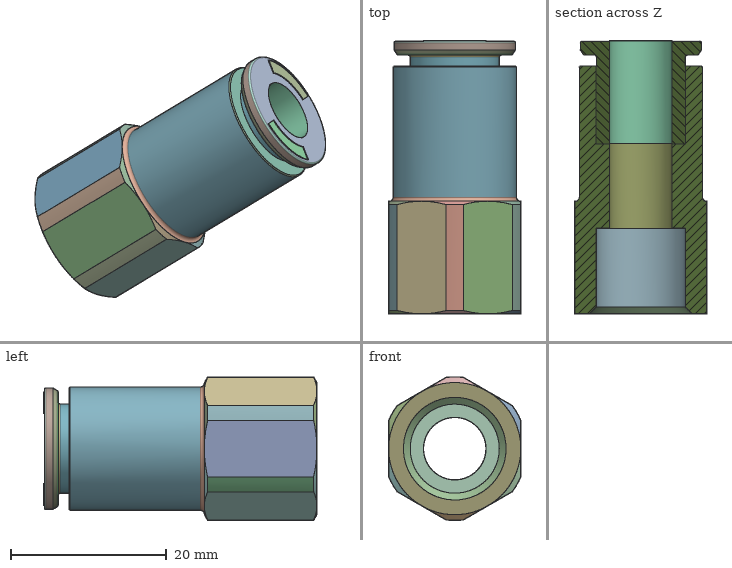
import cadquery as cq
import math


across_flats = 17.0
across_corners = 18.49
hex_face_diameter = across_flats
hex_length = 14.48
hex_chamfer_angle = 30.0
sleeve_diameter = 15.9
sleeve_end = 31.87
sleeve_chamfer = 0.15
shoulder_fillet = 0.5

flow_diameter = 8.0
port_diameter = 11.45
port_mouth_diameter = 13.2
port_depth = 11.0
socket_depth = 10.0

neck_diameter = 11.5
flange_diameter = 15.65
flange_rear = 33.25
flange_front = 35.05
rim_fillet = 0.2
rear_chamfer_length = 0.7
rear_chamfer_depth = 0.45
rear_fillet = 0.35
neck_fillet = 0.25
edge_margin = 0.01

pad_height = 0.1
pad_outer_radius = 7.3
pad_inner_radius = 5.4
pad_width = 8.1


def revolve_profile(profile):
    """Turn an (X = radius, Y = axial position) outline about the Y axis."""
    return profile.close().revolve(360, (0, 0, 0), (0, 1, 0))


def cylinder(diameter, start, end):
    """Cylinder along Y between two axial positions."""
    disc = cq.Workplane("XZ", origin=(0, start, 0)).circle(diameter / 2)
    return disc.extrude(start - end)


def make_hex_prism(length):
    """Hexagon bar along Y with flats facing +X and -X."""
    hexagon = cq.Workplane("XZ").polygon(6, across_flats, circumscribed=True)
    return hexagon.extrude(-length)


def make_turned_blank():
    """Turned outside of the hex end: rounded corners, end chamfers and shoulder fillet."""
    corner_radius = across_corners / 2
    face_radius = hex_face_diameter / 2
    sleeve_radius = sleeve_diameter / 2
    chamfer_length = (corner_radius - face_radius) * math.tan(math.radians(hex_chamfer_angle))
    fillet_middle = (
        sleeve_radius + shoulder_fillet * (1 - math.sqrt(0.5)),
        hex_length + shoulder_fillet * (1 - math.sqrt(0.5)),
    )
    return revolve_profile(
        cq.Workplane("XY")
        .lineTo(face_radius, 0)
        .lineTo(corner_radius, chamfer_length)
        .lineTo(corner_radius, hex_length - chamfer_length)
        .lineTo(face_radius, hex_length)
        .lineTo(sleeve_radius + shoulder_fillet, hex_length)
        .threePointArc(fillet_middle, (sleeve_radius, hex_length + shoulder_fillet))
        .lineTo(sleeve_radius, sleeve_end)
        .lineTo(0, sleeve_end)
    )


def make_port():
    """Female port at the hex end with its 45 degree mouth chamfer."""
    mouth_radius = port_mouth_diameter / 2
    port_radius = port_diameter / 2
    return revolve_profile(
        cq.Workplane("XY")
        .lineTo(mouth_radius, 0)
        .lineTo(port_radius, mouth_radius - port_radius)
        .lineTo(port_radius, port_depth)
        .lineTo(0, port_depth)
    )


def make_housing():
    blank = make_turned_blank().intersect(make_hex_prism(sleeve_end))
    blank = blank.faces(">Y").edges().chamfer(sleeve_chamfer)
    flow_bore = cylinder(flow_diameter, 0, sleeve_end)
    ring_socket = cylinder(neck_diameter, sleeve_end - socket_depth, sleeve_end)
    return blank.cut(make_port()).cut(flow_bore).cut(ring_socket)


def make_pad():
    """Curved pad centred on +Z, raised from the outer face of the release ring."""
    half_angle = math.asin(pad_width / 2 / pad_outer_radius)

    def on_circle(radius, angle):
        return (radius * math.sin(angle), radius * math.cos(angle))

    return (
        cq.Workplane("XZ", origin=(0, flange_front, 0))
        .moveTo(*on_circle(pad_inner_radius, -half_angle))
        .lineTo(*on_circle(pad_outer_radius, -half_angle))
        .threePointArc(on_circle(pad_outer_radius, 0), on_circle(pad_outer_radius, half_angle))
        .lineTo(*on_circle(pad_inner_radius, half_angle))
        .threePointArc(on_circle(pad_inner_radius, 0), on_circle(pad_inner_radius, -half_angle))
        .close()
        .extrude(-pad_height)
    )


def round_edge(body, radius, position, fillet):
    """Fillet the circular edge that has the given radius and axial position."""
    reach = radius + edge_margin
    near_position = cq.selectors.BoxSelector(
        (-reach, position - edge_margin, -reach),
        (reach, position + edge_margin, reach),
        boundingbox=True,
    )
    return body.edges(near_position).edges(cq.selectors.LengthNthSelector(-1)).fillet(fillet)


def make_release_ring():
    neck_radius = neck_diameter / 2
    flange_radius = flange_diameter / 2
    rear_face_radius = flange_radius - rear_chamfer_depth
    bore_radius = flow_diameter / 2
    ring_start = sleeve_end - socket_depth
    ring = revolve_profile(
        cq.Workplane("XY")
        .moveTo(bore_radius, ring_start)
        .lineTo(neck_radius, ring_start)
        .lineTo(neck_radius, flange_rear)
        .lineTo(rear_face_radius, flange_rear)
        .lineTo(flange_radius, flange_rear + rear_chamfer_length)
        .lineTo(flange_radius, flange_front)
        .lineTo(bore_radius, flange_front)
    )
    ring = round_edge(ring, neck_radius, flange_rear, neck_fillet)
    ring = round_edge(ring, rear_face_radius, flange_rear, rear_fillet)
    ring = round_edge(ring, flange_radius, flange_front, rim_fillet)
    for turn in (0, 180):
        ring = ring.union(make_pad().rotate((0, 0, 0), (0, 1, 0), turn))
    return ring


housing = make_housing()
release_ring = make_release_ring()

result = cq.Compound.makeCompound([housing.val(), release_ring.val()])